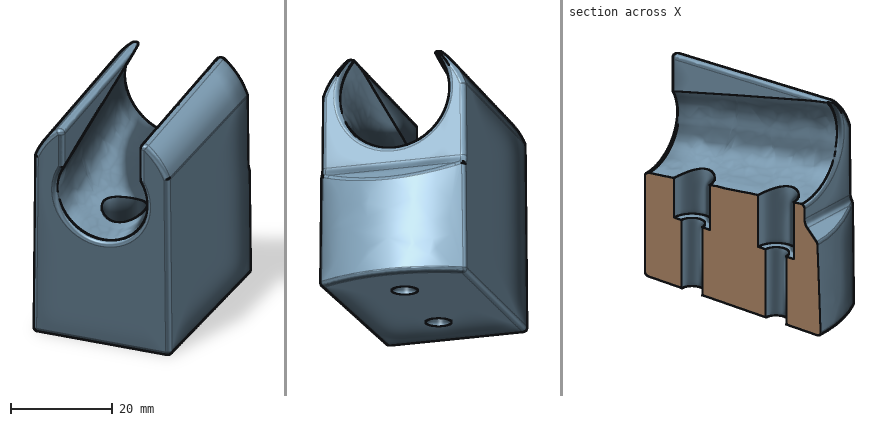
import math

import cadquery as cq

front_half_width = 14.8
rear_half_width = 15.3
corner_depth = 41.1
crest_depth = 44.99
side_draft = 0.55
arch_draft = 2.5
block_height = 55.0

rear_face_depth = 40.8
recess_height = 24.6
bevel_angle = 45.0
bevel_blend_radius = 2.5

crown_rear_radius = 15.8
crown_front_radius = 15.5
crown_rear_height = 50.2
crown_front_height = 48.8

bore_front_radius = 9.6
bore_front_height = 32.3
bore_rear_radius = 11.4
bore_rear_height = 39.2
slot_half_width = 8.15

hole_positions = (12.1, 33.5)
hole_diameter = 5.2
counterbore_diameter = 9.0
counterbore_floor_height = 15.0

edge_radius = 1.0

margin = 5.0

bore_rise_rate = (bore_rear_height - bore_front_height) / rear_face_depth


def block():
    """Block with an arched rear wall, tapering towards the front and towards the top."""
    side_inset = block_height * math.tan(math.radians(side_draft))
    arch_inset = block_height * math.tan(math.radians(arch_draft))

    def outline(plane, side_shift, arch_shift):
        front = front_half_width - side_shift
        rear = rear_half_width - side_shift
        return (
            plane.moveTo(-front, 0)
            .lineTo(front, 0)
            .lineTo(rear, corner_depth)
            .threePointArc((0, crest_depth - arch_shift), (-rear, corner_depth))
            .close()
        )

    base = outline(cq.Workplane("XY"), 0, 0)
    return outline(base.workplane(offset=block_height), side_inset, arch_inset).loft(ruled=True)


def crown_envelope():
    """Round-topped bar, narrowing and falling towards the front, whose upper side forms the crown."""
    drop = 2 * crown_rear_height
    radius_rate = (crown_rear_radius - crown_front_radius) / rear_face_depth
    height_rate = (crown_rear_height - crown_front_height) / rear_face_depth
    sections = []
    for y in (-margin, rear_face_depth + margin):
        radius = crown_front_radius + radius_rate * y
        center_height = crown_front_height + height_rate * y - radius
        section = (
            cq.Workplane("XZ", origin=(0, y, center_height))
            .moveTo(-radius, -drop)
            .lineTo(-radius, 0)
            .threePointArc((0, radius), (radius, 0))
            .lineTo(radius, -drop)
            .close()
        )
        sections.append(section.val())
    return cq.Workplane(cq.Solid.makeLoft(sections, True))


def rear_recess():
    """Cutter for the flat upper rear face and the blended bevel below it."""
    slope = math.radians(bevel_angle)
    reach = 2 * (crest_depth - rear_face_depth)
    fall = reach / math.tan(slope)
    tangent = bevel_blend_radius * math.tan(slope / 2)
    blend_middle = (
        rear_face_depth + bevel_blend_radius * (1 - math.cos(slope / 2)),
        recess_height - bevel_blend_radius * math.sin(slope / 2),
    )
    blend_end = (
        rear_face_depth + tangent * math.sin(slope),
        recess_height - tangent * (1 + math.cos(slope)),
    )
    return (
        cq.Workplane("YZ")
        .moveTo(rear_face_depth, block_height)
        .lineTo(rear_face_depth, recess_height)
        .threePointArc(blend_middle, blend_end)
        .lineTo(blend_end[0] + reach, blend_end[1] - fall)
        .lineTo(blend_end[0] + reach, block_height)
        .close()
        .extrude(2 * rear_half_width, both=True)
    )


def cradle_slot():
    """Parallel-sided slot reaching down to the axis of the bore."""
    return (
        cq.Workplane("YZ")
        .polyline([
            (-margin, bore_front_height - bore_rise_rate * margin),
            (crest_depth + margin, bore_front_height + bore_rise_rate * (crest_depth + margin)),
            (crest_depth + margin, block_height),
            (-margin, block_height),
        ])
        .close()
        .extrude(slot_half_width, both=True)
    )


def cradle_bore():
    """Bore widening and rising towards the rear."""
    radius_rate = (bore_rear_radius - bore_front_radius) / rear_face_depth
    sections = []
    for y in (-margin, rear_face_depth + margin):
        radius = bore_front_radius + radius_rate * y
        center = cq.Vector(0, y, bore_front_height + bore_rise_rate * y)
        sections.append(cq.Wire.makeCircle(radius, center, cq.Vector(0, 1, 0)))
    return cq.Workplane(cq.Solid.makeLoft(sections, True))


def bore_mouth(bore_radius, center_height, face_depth, inward):
    """Cutter rounding the rim of the bore at one face; inward is the Y direction into the part."""
    throat_depth = face_depth + inward * edge_radius
    mouth_radius = bore_radius + edge_radius
    arc_offset = edge_radius * math.sqrt(0.5)
    return (
        cq.Workplane("XY")
        .moveTo(0, face_depth)
        .lineTo(mouth_radius, face_depth)
        .threePointArc(
            (mouth_radius - arc_offset, throat_depth - inward * arc_offset),
            (bore_radius, throat_depth),
        )
        .lineTo(0, throat_depth)
        .close()
        .revolve(360, (0, 0, 0), (0, 1, 0))
        .translate((0, 0, center_height))
    )


def screw_holes():
    """Counterbored holes running down through the floor."""
    points = [(0, y) for y in hole_positions]
    holes = cq.Workplane("XY").pushPoints(points).circle(hole_diameter / 2).extrude(bore_rear_height)
    heads = (
        cq.Workplane("XY", origin=(0, 0, counterbore_floor_height))
        .pushPoints(points)
        .circle(counterbore_diameter / 2)
        .extrude(bore_rear_height - counterbore_floor_height)
    )
    return holes.union(heads)



def is_rounded(edge):
    """True for the outer edges and slot rims, False for the bevel seams and the slot floor."""
    rim_tolerance = edge_radius / 10
    center = edge.Center()
    across = edge.geomType() == "LINE" and abs(center.x) < edge_radius
    behind_front = center.y > edge_radius
    bevel_seam = across and behind_front and edge_radius < center.z < bore_front_height - edge_radius
    in_slot = abs(center.x) < slot_half_width + rim_tolerance
    low_in_slot = in_slot and bore_front_height - edge_radius < center.z < bore_rear_height + edge_radius
    slot_floor = low_in_slot and (across or behind_front)
    return not bevel_seam and not slot_floor


shell = block().intersect(crown_envelope()).cut(rear_recess()).cut(cradle_slot())
rounded_edges = [edge for edge in shell.edges().vals() if is_rounded(edge)]
rounded_shell = shell.newObject(rounded_edges).fillet(edge_radius)
result = (
    rounded_shell.cut(cradle_bore())
    .cut(bore_mouth(bore_front_radius, bore_front_height, 0, 1))
    .cut(bore_mouth(bore_rear_radius, bore_rear_height, rear_face_depth, -1))
    .cut(screw_holes())
)